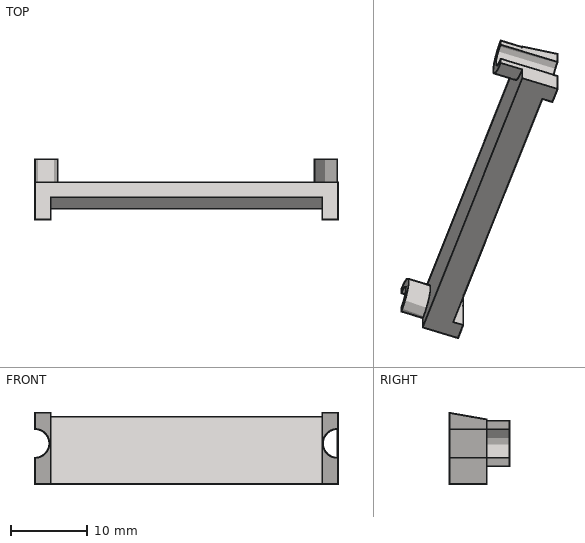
import cadquery as cq
import math

length = 39.8
lean_angle = math.radians(10)
body_depth = 4.93
end_wall = 2.1

front_top = 4.03
overall_height = 9.36
bottom_z = front_top - overall_height
back_top = front_top - body_depth * math.tan(lean_angle)
panel_top_thickness = 2.0 * math.cos(lean_angle)

boss_radius = 3.0
boss_length = 3.0
groove_radius = 1.875
right_boss_inset = 0.1

back_y = body_depth
left_axis_x = 0.0
right_axis_x = length - right_boss_inset


def make_body():
    """Full-length block with a sloping top."""
    profile = [
        (0, bottom_z),
        (back_y, bottom_z),
        (back_y, back_top),
        (0, front_top),
    ]
    return cq.Workplane("YZ").polyline(profile).close().extrude(length)


def make_front_recess():
    """Space in front of the panel; its rear face is square to the sloping top."""
    panel_top_y = back_y - panel_top_thickness
    panel_top_z = back_top + panel_top_thickness * math.tan(lean_angle)
    panel_bottom_y = panel_top_y - (panel_top_z - bottom_z) * math.tan(lean_angle)
    profile = [
        (0, bottom_z),
        (panel_bottom_y, bottom_z),
        (panel_top_y, panel_top_z),
        (0, front_top),
    ]
    recess = cq.Workplane("YZ").polyline(profile).close()
    return recess.extrude(length - 2 * end_wall).translate((end_wall, 0, 0))


def half_round(radius, axis_x, inward, depth):
    """Half cylinder along Y from the front face, bulging toward the middle of the part."""
    section = (
        cq.Workplane("XZ")
        .moveTo(axis_x, -radius)
        .threePointArc((axis_x + inward * radius, 0), (axis_x, radius))
        .close()
    )
    return section.extrude(-depth)


result = make_body().cut(make_front_recess())

for axis_x, inward in ((left_axis_x, 1), (right_axis_x, -1)):
    boss = half_round(boss_radius, axis_x, inward, boss_length).translate((0, back_y, 0))
    groove = half_round(groove_radius, axis_x, inward, back_y + boss_length)
    result = result.union(boss).cut(groove)